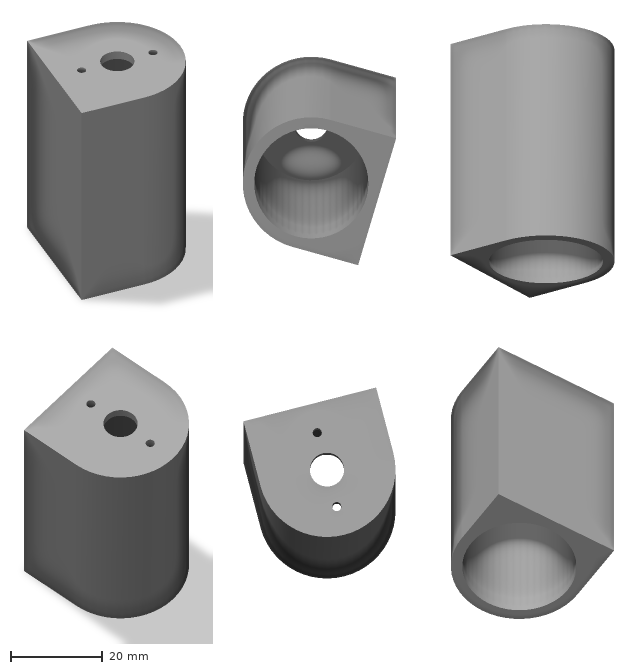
import cadquery as cq

height = 50.0
width = 30.0
outer_radius = width / 2
front_depth = 15.0

cavity_diameter = 25.0
top_wall = 2.0

center_hole_diameter = 7.5
screw_hole_diameter = 2.0
screw_offset = 8.5


def make_body():
    """Half-round block with the round's axis on Z and its base at Z = 0."""
    return (
        cq.Workplane("XY")
        .moveTo(-outer_radius, -front_depth)
        .lineTo(outer_radius, -front_depth)
        .lineTo(outer_radius, 0)
        .threePointArc((0, outer_radius), (-outer_radius, 0))
        .close()
        .extrude(height)
    )


def make_cavity():
    """Cylinder that hollows the body from below."""
    return cq.Workplane("XY").circle(cavity_diameter / 2).extrude(height - top_wall)


def make_top_holes():
    """Center hole and the two screw holes beside it."""
    center_hole = cq.Workplane("XY").circle(center_hole_diameter / 2).extrude(height)
    screw_holes = (
        cq.Workplane("XY")
        .pushPoints([(0, -screw_offset), (0, screw_offset)])
        .circle(screw_hole_diameter / 2)
        .extrude(height)
    )
    return center_hole.union(screw_holes)


result = make_body().cut(make_cavity()).cut(make_top_holes())